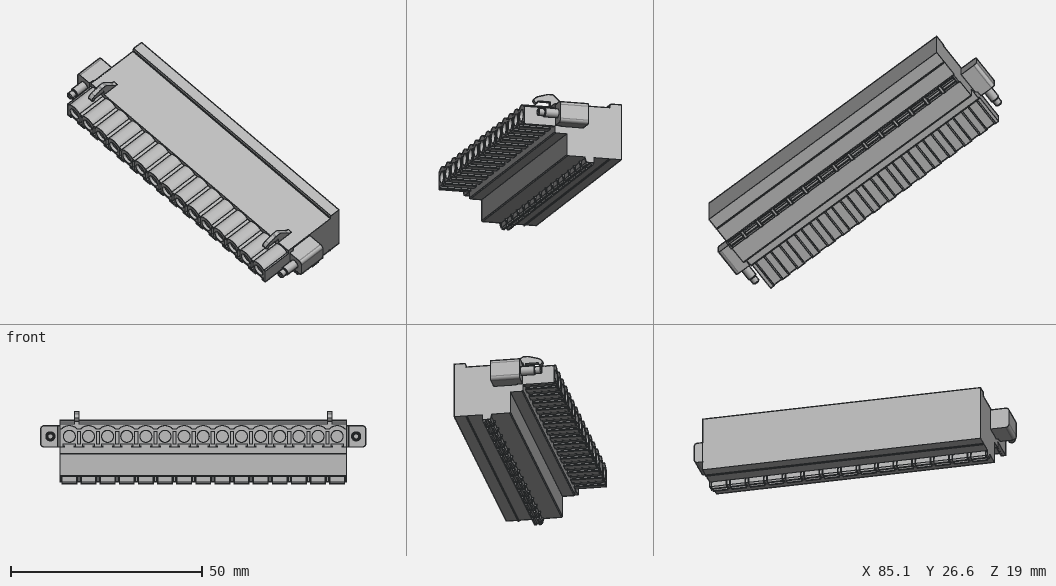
import cadquery as cq


total_length = 85.1
total_depth = 26.6
total_height = 19.0

pole_count = 15
housing_length = 75.1
pole_pitch = housing_length / pole_count
housing_front = 8.3
housing_top = 15.7
housing_bottom = 1.9
step_height = 7.75
lower_edge_chamfer = 0.25
lower_front = 11.7
rib_depth = 3.15
rib_top = 16.7
rib_chamfer_width = 0.25
rib_chamfer_height = 0.5
bead_size = 0.25

socket_axis = 12.4
socket_top = 15.2
socket_bottom = 9.6
socket_radius = socket_top - socket_axis
valley_height = 14.4
bore_diameter = 3.15
bore_depth = 0.9
notch_mouth = 2.5
notch_width = 3.2
notch_top = 10.4
notch_lip = 0.25
slot_width = 0.85
slot_top = 13.7
slot_bottom = notch_top
slot_depth = 1.3

flange_depth = 7.75
flange_radius = 0.9
relief_width = 0.6
relief_depth = 1.8
relief_taper = 0.1
relief_chamfer = 0.5
screw_inset = 2.55
screw_diameter = 2.4
screw_end = 4.8
tip_diameter = 1.9
tip_end = 2.9
tip_chamfer = 0.25
neck_diameter = 1.6
neck_length = 0.2

hook_width = 1.3
hook_inset = 4.4
hook_underside = 17.0
hook_ramp_foot = 13.1
hook_crest_back = 8.85
hook_crest_front = 7.7
hook_nose = 3.8
hook_barb_tip = 16.3

foot_back = 19.15
foot_front = 16.6
foot_toe = 17.0
foot_bottom = 0.5
foot_width = 3.9
gusset_width = 0.7
end_gusset_width = 0.4
ridge_width = 0.8
ridge_tip_width = 0.4


def box(x_min, x_max, y_min, y_max, z_min, z_max):
    """Axis-aligned block between the given limits."""
    size = (x_max - x_min, y_max - y_min, z_max - z_min)
    return cq.Workplane("XY").box(*size, centered=False).translate((x_min, y_min, z_min))


def side_prism(points, length, x_center=0.0):
    """Extrude a (Y, Z) outline along X, centred on x_center."""
    start = cq.Workplane("YZ", origin=(x_center - length / 2, 0, 0))
    return start.polyline(points).close().extrude(length)


def rod(x, diameter, y_start, y_end):
    """Cylinder on the socket axis running along Y."""
    plane = cq.Plane(origin=(x, y_start, socket_axis), xDir=(1, 0, 0), normal=(0, 1, 0))
    return cq.Workplane(plane).circle(diameter / 2).extrude(y_end - y_start)


half_length = housing_length / 2
rib_front = total_depth - rib_depth
pole_positions = [(i + 0.5) * pole_pitch - half_length for i in range(pole_count)]
pole_boundaries = [i * pole_pitch - half_length for i in range(1, pole_count)]


def make_housing():
    """Stepped body with chamfered lower edges, a rib along the top and a fine bead below."""
    profile = [
        (total_depth, housing_bottom),
        (total_depth, rib_top),
        (rib_front + rib_chamfer_width, rib_top),
        (rib_front, rib_top - rib_chamfer_height),
        (rib_front, housing_top),
        (housing_front, housing_top),
        (housing_front, step_height + lower_edge_chamfer),
        (housing_front + lower_edge_chamfer, step_height),
        (lower_front, step_height),
        (lower_front, housing_bottom + lower_edge_chamfer),
        (lower_front + lower_edge_chamfer, housing_bottom),
    ]
    bead = box(
        -half_length, half_length,
        rib_front - bead_size, rib_front,
        housing_bottom - bead_size, housing_bottom,
    )
    return side_prism(profile, housing_length).union(bead)


def make_sockets():
    """Row of round-topped sockets with bores, dividing slots and bottom notches."""
    row = box(-half_length, half_length, 0, housing_front, socket_bottom, valley_height)
    for x in pole_positions:
        crown = rod(x, 2 * socket_radius, 0, housing_front)
        above_valley = box(
            x - pole_pitch / 2, x + pole_pitch / 2, 0, housing_front, valley_height, socket_top,
        )
        row = row.union(crown.intersect(above_valley))
    lip_top = socket_bottom + notch_lip
    for x in pole_positions:
        mouth = box(
            x - notch_mouth / 2, x + notch_mouth / 2, 0, housing_front, socket_bottom, lip_top,
        )
        notch = box(
            x - notch_width / 2, x + notch_width / 2, 0, housing_front, lip_top, notch_top,
        )
        row = row.cut(rod(x, bore_diameter, 0, bore_depth)).cut(mouth).cut(notch)
    for x in pole_boundaries:
        row = row.cut(
            box(x - slot_width / 2, x + slot_width / 2, 0, slot_depth, slot_bottom, slot_top)
        )
    return row


def make_left_flange():
    """Rounded ear with a relief beside the housing and a stepped screw."""
    outer = -total_length / 2
    flange = box(
        outer, -half_length,
        housing_front, housing_front + flange_depth,
        socket_bottom, socket_top,
    )
    flange = flange.edges("|Y and <X").fillet(flange_radius)
    relief_back = housing_front + relief_depth
    relief = (
        cq.Workplane("XY", origin=(0, 0, socket_bottom))
        .moveTo(-half_length, housing_front)
        .lineTo(-half_length - relief_width, housing_front)
        .lineTo(-half_length - relief_width + relief_taper, relief_back - relief_chamfer)
        .lineTo(-half_length, relief_back)
        .close()
        .extrude(socket_top - socket_bottom)
    )
    screw_x = outer + screw_inset
    neck_end = screw_end - neck_length
    shank = rod(screw_x, screw_diameter, screw_end, housing_front)
    neck = rod(screw_x, neck_diameter, neck_end, screw_end)
    tip = rod(screw_x, tip_diameter, tip_end, neck_end).faces("<Y").chamfer(tip_chamfer)
    return flange.cut(relief).union(shank).union(neck).union(tip)


def make_left_hook():
    """Latch hook: a ramp up to a crest, then a sloping arm with a rounded, barbed nose."""
    hook_center = hook_inset - half_length
    return (
        cq.Workplane("YZ", origin=(hook_center - hook_width / 2, 0, 0))
        .moveTo(hook_ramp_foot, housing_top)
        .threePointArc((12.3, 16.0), (11.75, 16.5))
        .lineTo(9.3, 18.8)
        .threePointArc((9.1, 18.9), (hook_crest_back, total_height))
        .lineTo(hook_crest_front, total_height)
        .lineTo(7.3, 18.9)
        .lineTo(4.9, 18.2)
        .threePointArc((4.25, 17.8), (hook_nose, 17.3))
        .threePointArc((4.0, 16.8), (4.6, hook_barb_tip))
        .lineTo(5.0, hook_underside)
        .lineTo(housing_front, hook_underside)
        .lineTo(housing_front, housing_top)
        .close()
        .extrude(hook_width)
    )


def make_feet():
    """Upright foot with two ridges below each pole, and sloped gussets between the feet."""
    gusset_profile = [
        (foot_back, housing_bottom),
        (foot_back, foot_bottom),
        (foot_toe, foot_bottom),
        (foot_front, housing_bottom),
    ]
    ridge_taper = (ridge_width - ridge_tip_width) / 2
    feet = cq.Workplane("XY")
    for x in pole_positions:
        left = x - foot_width / 2
        right = x + foot_width / 2
        feet = feet.union(
            box(left, right, foot_toe, foot_back, foot_bottom, housing_bottom)
        )
        for y in (foot_toe, foot_back - ridge_width):
            ridge_profile = [
                (y, foot_bottom),
                (y + ridge_taper, 0),
                (y + ridge_taper + ridge_tip_width, 0),
                (y + ridge_width, foot_bottom),
            ]
            feet = feet.union(side_prism(ridge_profile, foot_width, x))
    for x in pole_boundaries:
        feet = feet.union(side_prism(gusset_profile, gusset_width, x))
    end_gusset_center = half_length - end_gusset_width / 2
    for x in (-end_gusset_center, end_gusset_center):
        feet = feet.union(side_prism(gusset_profile, end_gusset_width, x))
    return feet


left_fittings = make_left_flange().union(make_left_hook())
result = (
    make_housing()
    .union(make_sockets())
    .union(make_feet())
    .union(left_fittings)
    .union(left_fittings.mirror("YZ"))
)